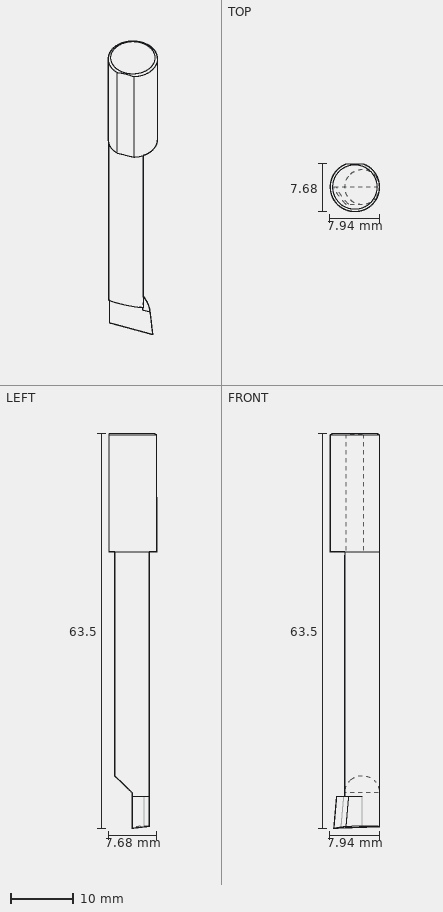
import cadquery as cq
import math


overall_length = 63.5
shank_diameter = 7.94
shank_radius = shank_diameter / 2
shank_length = 19.05
shank_bottom = overall_length - shank_length
shank_flat_y = 3.71
chamfer_height = 0.25
chamfer_width = 0.4

neck_radius = 2.8
neck_x = shank_radius - neck_radius

ramp_top = 8.45
ramp_bottom = 5.75

head_height = 5.15
side_relief_angle = 5
head_lean = head_height * math.tan(math.radians(side_relief_angle))
tip_x = -3.4
flank_x = -2.25
flank_y = -1.9
flank_bulge = 0.08
heel_x = -1.45

end_angle = 2
end_relief_angle = 5
end_slope = math.tan(math.radians(end_angle))
end_relief_slope = math.tan(math.radians(end_relief_angle))

clearance = 1


def make_shank():
    """Round shank with a chamfered top and a flat along its +Y side."""
    shank = cq.Workplane("XY").workplane(offset=shank_bottom).circle(shank_radius).extrude(shank_length)
    shank = shank.faces(">Z").edges().chamfer(chamfer_height, chamfer_width)
    flat_cutter = (
        cq.Workplane("XY", origin=(0, shank_flat_y + shank_radius, shank_bottom))
        .rect(shank_diameter, shank_diameter)
        .extrude(shank_length)
    )
    return shank.cut(flat_cutter)


def make_neck():
    """Offset round neck, cut back to a half round below a sloping ramp."""
    neck = cq.Workplane("XY").center(neck_x, 0).circle(neck_radius).extrude(shank_bottom)
    ramp_slope = (ramp_top - ramp_bottom) / neck_radius
    relief_depth = neck_radius + clearance
    relief = (
        cq.Workplane("YZ", origin=(neck_x, 0, 0))
        .moveTo(0, -clearance)
        .lineTo(relief_depth, -clearance)
        .lineTo(relief_depth, ramp_bottom + relief_depth * ramp_slope)
        .lineTo(0, ramp_bottom)
        .close()
        .extrude(neck_radius + clearance, both=True)
    )
    return neck.cut(relief)


def head_outline(plane, lean):
    """Head section: curved flank, straight heel and a back face tangent to the neck."""
    chord = math.hypot(flank_x - tip_x, flank_y)
    bulge_x = flank_bulge * flank_y / chord
    bulge_y = -flank_bulge * (flank_x - tip_x) / chord
    flank_middle = ((tip_x + flank_x) / 2 + bulge_x + lean, flank_y / 2 + bulge_y)
    return (
        plane.moveTo(tip_x + lean, 0)
        .threePointArc(flank_middle, (flank_x + lean, flank_y))
        .lineTo(heel_x + lean, -neck_radius)
        .lineTo(neck_x, -neck_radius)
        .lineTo(neck_x, 0)
        .close()
    )


def make_head():
    """Head whose flank and heel lean toward +X as they rise, giving side relief."""
    bottom = head_outline(cq.Workplane("XY"), 0)
    return head_outline(bottom.workplane(offset=head_height), head_lean).loft(ruled=True)


def make_end_cutter():
    """Everything below the bottom face, which rises from the cutting corner toward +X and -Y."""
    normal = (-end_slope, end_relief_slope, 1)
    bottom_plane = cq.Plane(origin=(tip_x, 0, 0), xDir=(1, 0, end_slope), normal=normal)
    cutter_size = 4 * shank_diameter
    return cq.Workplane(bottom_plane).rect(cutter_size, cutter_size).extrude(-shank_diameter)


result = make_shank().union(make_neck()).union(make_head()).cut(make_end_cutter())